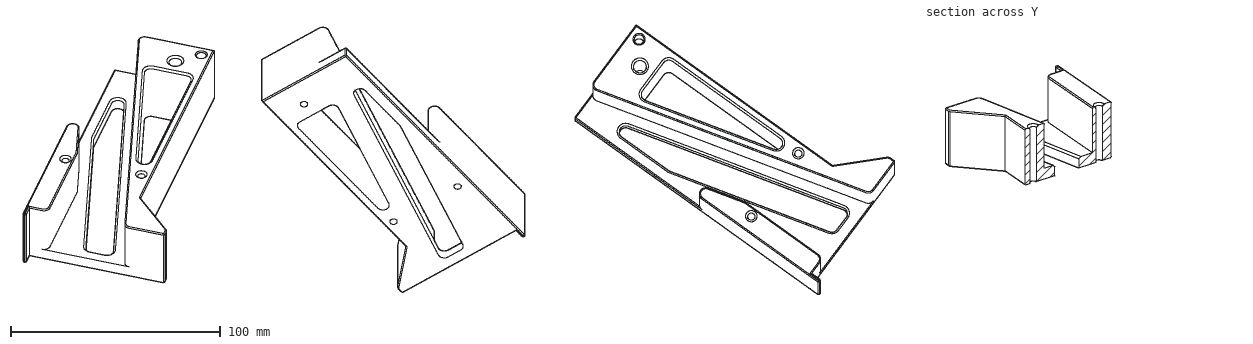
import cadquery as cq
import math

foot_width = 69.2
body_width = 50.0
body_length = 139.0
height = 30.5
base_thickness = 6.0

toe_edge_length = 3.8
toe_shoulder_y = toe_edge_length + foot_width - body_width

overall_length = 144.5
lip_length = overall_length - body_length
lip_thickness = 1.7

lean = math.radians(15)
wall_foot_x = 49.3

block_width = 11.0
block_length = 66.6
block_straight_length = 46.0

floor_margin = 5.9
floor_window_inset = 6.0
block_margin = 4.0
block_window_back_y = 117.6

corner_radius = 3.0
edge_chamfer = 0.6
opening_chamfer = 1.0

screw_diameter = 3.5
counterbore_diameter = 6.0
counterbore_floor = base_thickness
counterbored_hole = (34.7, 125.5)
hole_row_y = 39.6
screw_holes = [(7.1, hole_row_y), (45.1, hole_row_y)]
pin_diameter = 4.6
pin_depth = 10.1
pin_hole = (45.1, 133.7)


def lean_x(foot_x, y):
    """X at depth y of a leaning line that meets y = 0 at foot_x."""
    return foot_x - y * math.tan(lean)


def lean_y(foot_x, x):
    """Y at which a leaning line that meets y = 0 at foot_x reaches x."""
    return (foot_x - x) / math.tan(lean)


def shifted(foot_x, distance):
    """Foot of a leaning line moved sideways by a perpendicular distance."""
    return foot_x + distance / math.cos(lean)


def prism(points, z_bottom, z_top):
    """Upright solid with a polygonal plan between two heights."""
    return cq.Workplane("XY").workplane(offset=z_bottom).polyline(points).close().extrude(z_top - z_bottom)


def chamfered_window(points, z_top):
    """Cutter for a round-cornered through window with a chamfered upper rim."""
    opening = prism(points, 0, z_top).edges("|Z").fillet(corner_radius)
    rim_angle = 45
    rim_wire = opening.faces(">Z").wires().val()
    rim = (
        cq.Workplane(rim_wire.offset2D(opening_chamfer)[0])
        .toPending()
        .extrude(-opening_chamfer, taper=rim_angle)
    )
    return opening.union(rim)


def chamfered_hole(centre, diameter, z_bottom, chamfer):
    """Cutter for a hole from z_bottom to the top face, with a chamfered mouth."""
    depth = height - z_bottom
    radius = diameter / 2
    profile = [(0, 0), (radius + chamfer, 0), (radius, -chamfer), (radius, -depth), (0, -depth)]
    return (
        cq.Workplane("XZ")
        .polyline(profile)
        .close()
        .revolve(360, (0, 0), (0, 1))
        .translate((*centre, height))
    )


body = prism(
    [
        (0, -lip_length),
        (lip_thickness, -lip_length),
        (lip_thickness, 0),
        (foot_width, 0),
        (foot_width, toe_edge_length),
        (body_width, toe_shoulder_y),
        (body_width, body_length),
        (0, body_length),
    ],
    0,
    height,
)
body = body.edges("|Z and (<X or >X or <Y)").chamfer(edge_chamfer)
body = body.faces("<Z").edges().chamfer(edge_chamfer)

block_bottom = base_thickness - edge_chamfer

wall_block = (
    prism(
        [
            (wall_foot_x, 0),
            (foot_width, 0),
            (foot_width, body_length),
            (lean_x(wall_foot_x, body_length), body_length),
        ],
        block_bottom,
        height,
    )
    .edges("|Z and (not >X)")
    .fillet(corner_radius)
)
block_foot_x = block_width + block_straight_length * math.tan(lean)
left_block = (
    prism(
        [
            (0, 0),
            (block_width, 0),
            (block_width, block_straight_length),
            (lean_x(block_foot_x, block_length), block_length),
            (0, block_length),
        ],
        block_bottom,
        height,
    )
    .edges("|Z and (>Y or (>X and <Y))")
    .fillet(corner_radius)
)
lip = prism(
    [(0, -lip_length), (lip_thickness, -lip_length), (lip_thickness, 0), (0, 0)],
    block_bottom,
    height,
)

chamfer_profile = [(0, base_thickness), (edge_chamfer, base_thickness), (0, block_bottom)]
left_floor_chamfer = cq.Workplane("XZ").polyline(chamfer_profile).close().extrude(-body_length)
back_floor_chamfer = (
    cq.Workplane("YZ", origin=(0, body_length, 0))
    .polyline([(-inset, z) for inset, z in chamfer_profile])
    .close()
    .extrude(foot_width)
)
open_space = (
    cq.Workplane("XY", origin=(0, -lip_length, base_thickness))
    .box(foot_width, lip_length + body_length, height, centered=False)
    .union(left_floor_chamfer)
    .union(back_floor_chamfer)
    .cut(wall_block)
    .cut(left_block)
    .cut(lip)
)
result = body.cut(open_space)

result = result.faces(">Z").edges().chamfer(edge_chamfer)

floor_window_left = shifted(block_foot_x, floor_margin)
floor_window_right = shifted(wall_foot_x, -floor_margin)
floor_window = chamfered_window(
    [
        (lean_x(floor_window_left, floor_margin), floor_margin),
        (lean_x(floor_window_right, floor_margin), floor_margin),
        (floor_window_inset, lean_y(floor_window_right, floor_window_inset)),
        (floor_window_inset, lean_y(floor_window_left, floor_window_inset)),
    ],
    base_thickness,
)

block_window_left = shifted(wall_foot_x, block_margin)
block_window_right_x = body_width - block_margin
block_window = chamfered_window(
    [
        (lean_x(block_window_left, block_window_back_y), block_window_back_y),
        (block_window_right_x, block_window_back_y),
        (block_window_right_x, lean_y(block_window_left, block_window_right_x)),
    ],
    height,
)
result = result.cut(floor_window).cut(block_window)

for centre in [*screw_holes, counterbored_hole]:
    result = result.cut(chamfered_hole(centre, screw_diameter, 0, opening_chamfer))
result = result.cut(chamfered_hole(counterbored_hole, counterbore_diameter, counterbore_floor, opening_chamfer))
result = result.cut(chamfered_hole(pin_hole, pin_diameter, height - pin_depth, edge_chamfer))